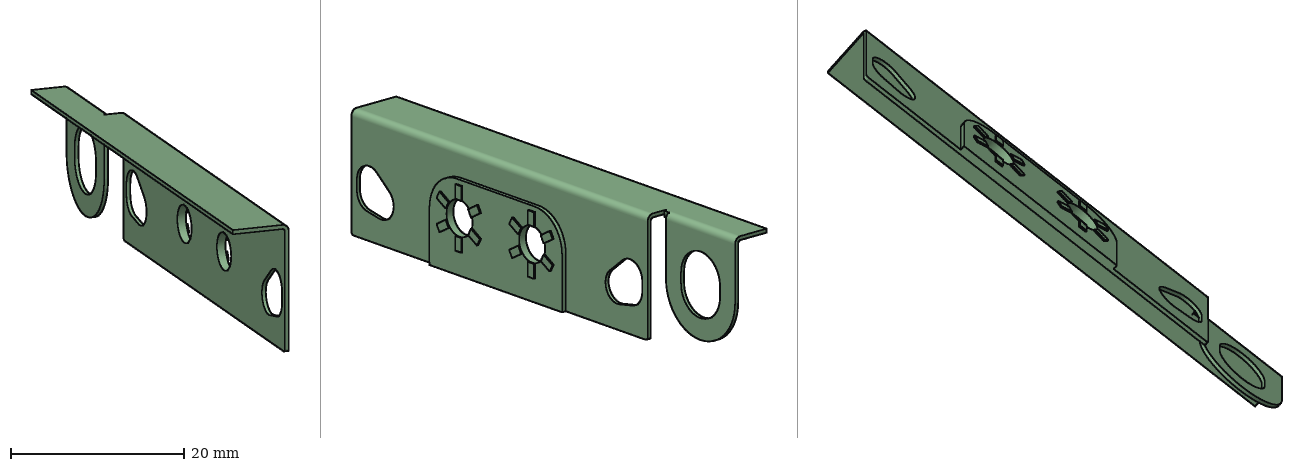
import cadquery as cq

length = 64.25
depth = 7.7
height = 15.3

sheet = 0.5
bend_inner = 0.3
bend_outer = sheet + bend_inner

rib_height = 0.2
pad_height = 0.6
plate_back = depth - rib_height - pad_height

plate_left = 12.85
plate_middle = (plate_left + length) / 2
plate_corner = 0.4

tab_width = 12.0
tab_back = 4.9
tab_radius = tab_width / 2
tab_center_z = height - 7.95
tab_slot_width = 6.75
tab_slot_height = 8.1
tab_slot_z = height - 7.25

hole_diameter = 4.5
hole_offset = 6.3
hole_z = height - 8.3
corner_hole_radius = 2.1
corner_hole_offset = 22.6
corner_hole_inset = 2.1
corner_hole_drop = 1.75
corner_hole_outer_drop = 1.35

pad_radius = 4.7
pad_arc_offset = 6.8
rib_count = 6
rib_width = 1.0
rib_reach = 4.05


def bent_sheet(x_start, x_end, back):
    """Flange with a leg turned down along its back edge; the leg reaches the bottom."""
    front = back - sheet
    return (
        cq.Workplane("YZ", origin=(x_start, 0, 0))
        .moveTo(0, height)
        .lineTo(back - bend_outer, height)
        .radiusArc((back, height - bend_outer), bend_outer)
        .lineTo(back, 0)
        .lineTo(front, 0)
        .lineTo(front, height - bend_outer)
        .radiusArc((front - bend_inner, height - sheet), -bend_inner)
        .lineTo(0, height - sheet)
        .close()
        .extrude(x_end - x_start)
    )


def upright_sketch(y):
    """XZ sketch plane at the given Y; it extrudes toward -Y."""
    return cq.Workplane("XZ", origin=(0, y, 0))


def make_plate():
    plate = bent_sheet(plate_left, length, plate_back)
    return plate.edges("|Y and <Z").fillet(plate_corner)


def make_tab():
    """Leg with a half-round lower end and an upright slot, set off from the plate by a relief notch."""
    below_arc = (
        upright_sketch(tab_back)
        .rect(tab_width, tab_center_z, centered=False)
        .extrude(sheet)
    )
    relief_notch = (
        upright_sketch(tab_back)
        .center(tab_width, 0)
        .rect(plate_left - tab_width, height, centered=False)
        .extrude(sheet)
    )
    round_end = (
        upright_sketch(tab_back)
        .center(tab_radius, tab_center_z)
        .circle(tab_radius)
        .extrude(sheet)
    )
    slot = (
        upright_sketch(tab_back)
        .center(tab_radius, tab_slot_z)
        .slot2D(tab_slot_height, tab_slot_width, 90)
        .extrude(sheet)
    )
    blank = bent_sheet(0, plate_left, tab_back)
    return blank.cut(below_arc).cut(relief_notch).union(round_end).cut(slot)


def make_pad():
    """Raised pad with rounded upper corners, running down to the bottom edge."""
    left_arc_x = plate_middle - pad_arc_offset
    right_arc_x = plate_middle + pad_arc_offset
    pad_top = hole_z + pad_radius
    return (
        upright_sketch(plate_back + pad_height)
        .moveTo(left_arc_x - pad_radius, 0)
        .lineTo(left_arc_x - pad_radius, hole_z)
        .radiusArc((left_arc_x, pad_top), pad_radius)
        .lineTo(right_arc_x, pad_top)
        .radiusArc((right_arc_x + pad_radius, hole_z), pad_radius)
        .lineTo(right_arc_x + pad_radius, 0)
        .close()
        .extrude(pad_height)
    )


def make_rib_ring(center_x):
    """Radial ribs evenly spaced around one round hole, one of them pointing straight up."""
    hole_radius = hole_diameter / 2
    rib_length = rib_reach - hole_radius
    return (
        upright_sketch(depth)
        .center(center_x, hole_z)
        .polarArray(hole_radius + rib_length / 2, 90, 360, rib_count)
        .rect(rib_length, rib_width)
        .extrude(rib_height)
    )


def round_hole(center_x):
    """Cutter for a round hole through the plate and the pad."""
    return upright_sketch(depth).center(center_x, hole_z).circle(hole_diameter / 2).extrude(depth)


def corner_hole(side):
    """Rounded three-cornered opening; side is -1 for the left one and 1 for the right one."""
    outer_x = plate_middle + side * corner_hole_offset
    inner_x = outer_x - side * corner_hole_inset
    corners = [
        (outer_x, hole_z),
        (inner_x, hole_z - corner_hole_drop),
        (outer_x, hole_z - corner_hole_outer_drop),
    ]
    return (
        upright_sketch(plate_back)
        .polyline(corners)
        .close()
        .offset2D(corner_hole_radius)
        .extrude(sheet)
    )


result = make_plate().union(make_tab()).union(make_pad())
for side in (-1, 1):
    hole_x = plate_middle + side * hole_offset
    result = result.union(make_rib_ring(hole_x)).cut(round_hole(hole_x)).cut(corner_hole(side))